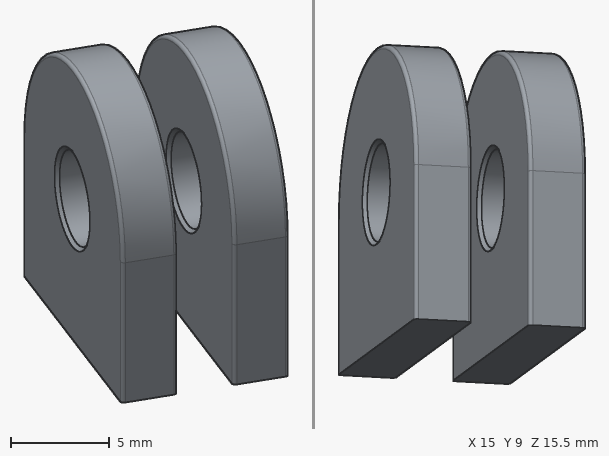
import cadquery as cq

height = 15.5
width = 15.0
total_depth = 9.0
lug_thickness = 3.0
hole_diameter = 5.0
edge_radius = 0.2
hole_chamfer = 0.2

end_radius = width / 2
hole_radius = hole_diameter / 2
hole_height = height - end_radius
lug_pitch = total_depth - lug_thickness
half_thickness = lug_thickness / 2


def lug_blank():
    """Plate with a sharp flat foot at Z = 0 and a rounded-edge arched outline, centred on Y = 0."""
    plate = (
        cq.Workplane("XZ")
        .moveTo(-end_radius, 0)
        .lineTo(end_radius, 0)
        .lineTo(end_radius, hole_height)
        .threePointArc((0, height), (-end_radius, hole_height))
        .close()
        .extrude(half_thickness, both=True)
    )
    return plate.faces("|Y").edges("not(<Z)").fillet(edge_radius)


def hole_cutter():
    """Through hole that flares at both ends, revolved about its axis along Y."""
    rim_radius = hole_radius + hole_chamfer
    bevel_start = half_thickness - hole_chamfer
    return (
        cq.Workplane("XY")
        .moveTo(0, -half_thickness)
        .lineTo(rim_radius, -half_thickness)
        .lineTo(hole_radius, -bevel_start)
        .lineTo(hole_radius, bevel_start)
        .lineTo(rim_radius, half_thickness)
        .lineTo(0, half_thickness)
        .close()
        .revolve(360, (0, 0, 0), (0, 1, 0))
        .translate((0, 0, hole_height))
    )


def make_lug(y_center):
    """One complete lug, centred on the given Y position."""
    return lug_blank().cut(hole_cutter()).translate((0, y_center, 0))


lugs = [make_lug(side * lug_pitch / 2) for side in (-1, 1)]

result = cq.Compound.makeCompound([solid for lug in lugs for solid in lug.solids().vals()])